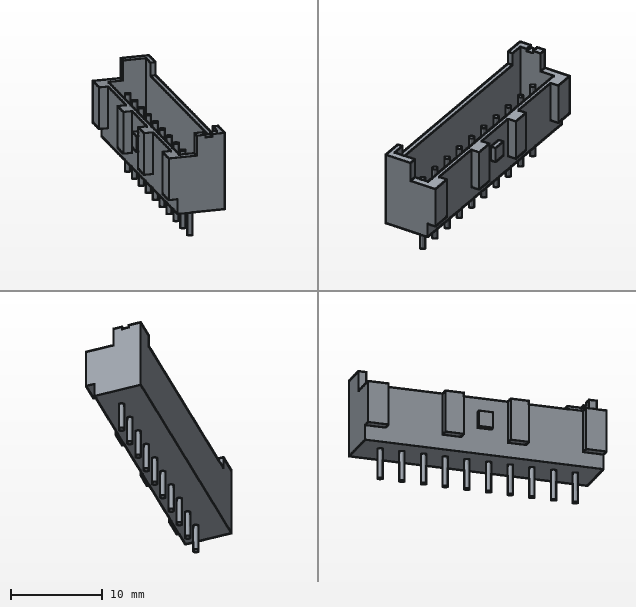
import cadquery as cq


body_length = 27.5
body_height = 8.8
back_y = 3.2
front_wall_y = -2.2
end_wall = 0.9
back_wall = 0.6
front_wall = 0.5
floor_thickness = 1.5

shoulder_z = 6.5
shoulder_back_y = 0.0
back_rim_z = 7.3
corner_tab_length = 2.5

rib_front_y = -3.2
rib_bottom_z = 1.7
end_rib_width = 2.35
inner_rib_width = 2.1
inner_rib_offset = 3.75
key_width = 1.6
key_front_y = -2.8
key_bottom_z = 3.0
key_top_z = 4.8

slot_back_y = 1.8
slot_front_y = 1.0
slot_depth = 0.3

pin_count = 10
pin_pitch = 2.5
pin_diameter = 0.6
pin_bottom_z = -3.4
pin_top_z = 5.5

half_length = body_length / 2
half_cavity = half_length - end_wall


def block(x_range, y_range, z_range):
    """Box spanning the given (low, high) ranges."""
    (x0, x1), (y0, y1), (z0, z1) = x_range, y_range, z_range
    return cq.Workplane("XY").box(x1 - x0, y1 - y0, z1 - z0, centered=False).translate((x0, y0, z0))


def shroud():
    """Open-topped box with a low front, a lowered back rim and raised rear corners."""
    full_length = (-half_length, half_length)
    between_tabs = (corner_tab_length - half_length, half_length - corner_tab_length)
    body = block(full_length, (front_wall_y, back_y), (0, body_height))
    cavity = block(
        (-half_cavity, half_cavity),
        (front_wall_y + front_wall, back_y - back_wall),
        (floor_thickness, body_height),
    )
    front_step = block(full_length, (front_wall_y, shoulder_back_y), (shoulder_z, body_height))
    back_rim_gap = block(between_tabs, (shoulder_back_y, back_y), (back_rim_z, body_height))
    return body.cut(cavity).cut(front_step).cut(back_rim_gap)


def front_rib(x_center, width):
    """Vertical rib standing out from the front wall, flush with the shoulder."""
    x_range = (x_center - width / 2, x_center + width / 2)
    return block(x_range, (rib_front_y, front_wall_y), (rib_bottom_z, shoulder_z))


def key_block():
    """Small rectangular block centred on the front wall."""
    return block((-key_width / 2, key_width / 2), (key_front_y, front_wall_y), (key_bottom_z, key_top_z))


def end_slot():
    """Cutter for the slot through the top of the +X end wall."""
    return block(
        (half_cavity, half_length),
        (slot_front_y, slot_back_y),
        (body_height - slot_depth, body_height),
    )


def pin(x):
    """Round pin passing through the floor."""
    base = cq.Workplane("XY", origin=(x, 0, pin_bottom_z))
    return base.circle(pin_diameter / 2).extrude(pin_top_z - pin_bottom_z)


result = shroud().cut(end_slot()).union(key_block())

end_rib_offset = half_length - end_rib_width / 2
for side in (-1, 1):
    result = result.union(front_rib(side * end_rib_offset, end_rib_width))
    result = result.union(front_rib(side * inner_rib_offset, inner_rib_width))

for index in range(pin_count):
    result = result.union(pin((index - (pin_count - 1) / 2) * pin_pitch))